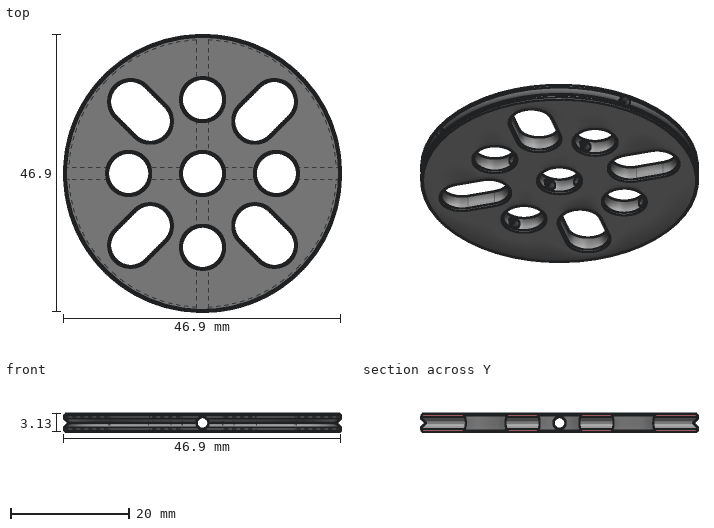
import cadquery as cq

pitch = 12.5
thickness = pitch / 4
disc_diameter = 3.75 * pitch
hole_diameter = 7.0
edge_chamfer = pitch / 40
groove_depth = pitch / 16
cross_bore_diameter = 2.0
slot_inner_radius = pitch
slot_outer_radius = 1.375 * pitch

disc_radius = disc_diameter / 2
half_thickness = thickness / 2
bore_seam_angle = 45
slot_angles = (45, 135, 225, 315)
hole_centers = [(0, 0), (pitch, 0), (-pitch, 0), (0, pitch), (0, -pitch)]


def make_grooved_disc():
    """Disc centred on the origin, with a V groove around its edge."""
    profile = [
        (0, -half_thickness),
        (disc_radius, -half_thickness),
        (disc_radius, -groove_depth),
        (disc_radius - groove_depth, 0),
        (disc_radius, groove_depth),
        (disc_radius, half_thickness),
        (0, half_thickness),
    ]
    return cq.Workplane("XZ").polyline(profile).close().revolve(360, (0, 0), (0, 1))


def cut_openings(disc):
    """Cut the round holes and the radial slots through the disc."""
    slot_center_radius = (slot_inner_radius + slot_outer_radius) / 2
    slot_length = slot_outer_radius - slot_inner_radius + hole_diameter
    bottom_plane = cq.Workplane("XY", origin=(0, 0, -half_thickness))
    hole = bottom_plane.circle(hole_diameter / 2).extrude(thickness)
    slot = (
        bottom_plane.center(slot_center_radius, 0)
        .slot2D(slot_length, hole_diameter)
        .extrude(thickness)
    )
    for x, y in hole_centers:
        disc = disc.cut(hole.translate((x, y, 0)))
    for angle in slot_angles:
        disc = disc.cut(slot.rotate((0, 0, 0), (0, 0, 1), angle))
    return disc


def chamfer_flat_faces(disc):
    """Chamfer every edge of the top and bottom faces: the rim and all opening mouths."""
    return disc.faces("<Z or >Z").edges().chamfer(edge_chamfer)


def drill_cross_bores(disc):
    """Drill a bore along X and one along Y at mid-thickness, right across the disc."""
    bore_length = 2 * disc_diameter
    bore_radius = cross_bore_diameter / 2
    for plane in ("YZ", "XZ"):
        bore_start = cq.Workplane(plane).workplane(offset=-bore_length / 2)
        bore_start = bore_start.transformed(rotate=(0, 0, bore_seam_angle))
        bore = bore_start.circle(bore_radius).extrude(bore_length)
        disc = disc.cut(bore)
    return disc


disc = make_grooved_disc()
disc = cut_openings(disc)
disc = chamfer_flat_faces(disc)
disc = drill_cross_bores(disc)
result = cq.Workplane(disc.solids().val())